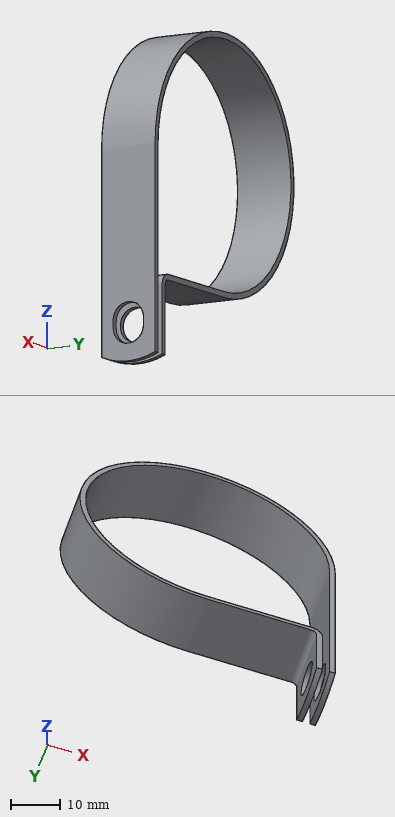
import cadquery as cq
import math

height = 71.8
strap_width = 12.7
thickness = 1.2
outer_radius = 27.4

leg_gap = 1.6
bend_outer_radius = 2.5
end_bulge = 1.3
hole_diameter = 7.2
slot_length = 8.6
hole_height = 8.0

inner_radius = outer_radius - thickness
bend_inner_radius = bend_outer_radius - thickness
tip_z = outer_radius - height
short_leg_right = inner_radius - leg_gap
short_leg_left = short_leg_right - thickness
bend_x = short_leg_right - bend_outer_radius
bend_z = -inner_radius - bend_outer_radius
diagonal = math.sqrt(0.5)


def make_strap():
    """Strap outline in XZ, centred on the loop axis and extruded along Y."""
    return (
        cq.Workplane("XZ")
        .moveTo(outer_radius, tip_z)
        .lineTo(outer_radius, 0)
        .threePointArc((-outer_radius * diagonal, outer_radius * diagonal), (0, -outer_radius))
        .lineTo(bend_x, -outer_radius)
        .threePointArc(
            (bend_x + bend_inner_radius * diagonal, bend_z + bend_inner_radius * diagonal),
            (short_leg_left, bend_z),
        )
        .lineTo(short_leg_left, tip_z)
        .lineTo(short_leg_right, tip_z)
        .lineTo(short_leg_right, bend_z)
        .threePointArc(
            (bend_x + bend_outer_radius * diagonal, bend_z + bend_outer_radius * diagonal),
            (bend_x, -inner_radius),
        )
        .lineTo(0, -inner_radius)
        .threePointArc((-inner_radius * diagonal, inner_radius * diagonal), (inner_radius, 0))
        .lineTo(inner_radius, tip_z)
        .close()
        .extrude(strap_width / 2, both=True)
    )


def make_side_envelope():
    """Strap silhouette in YZ, with the arc that rounds the leg ends."""
    half_width = strap_width / 2
    return (
        cq.Workplane("YZ")
        .moveTo(-half_width, outer_radius)
        .lineTo(-half_width, tip_z + end_bulge)
        .threePointArc((0, tip_z), (half_width, tip_z + end_bulge))
        .lineTo(half_width, outer_radius)
        .close()
        .extrude(outer_radius, both=True)
    )


def leg_face(leg_left):
    """Workplane on the left face of a leg, centred on the bolt axis."""
    return cq.Workplane("YZ", origin=(leg_left, 0, tip_z + hole_height))


bolt_hole = leg_face(short_leg_left).circle(hole_diameter / 2).extrude(thickness)
bolt_slot = leg_face(inner_radius).slot2D(slot_length, hole_diameter, 90).extrude(thickness)

result = make_strap().intersect(make_side_envelope()).cut(bolt_hole).cut(bolt_slot)